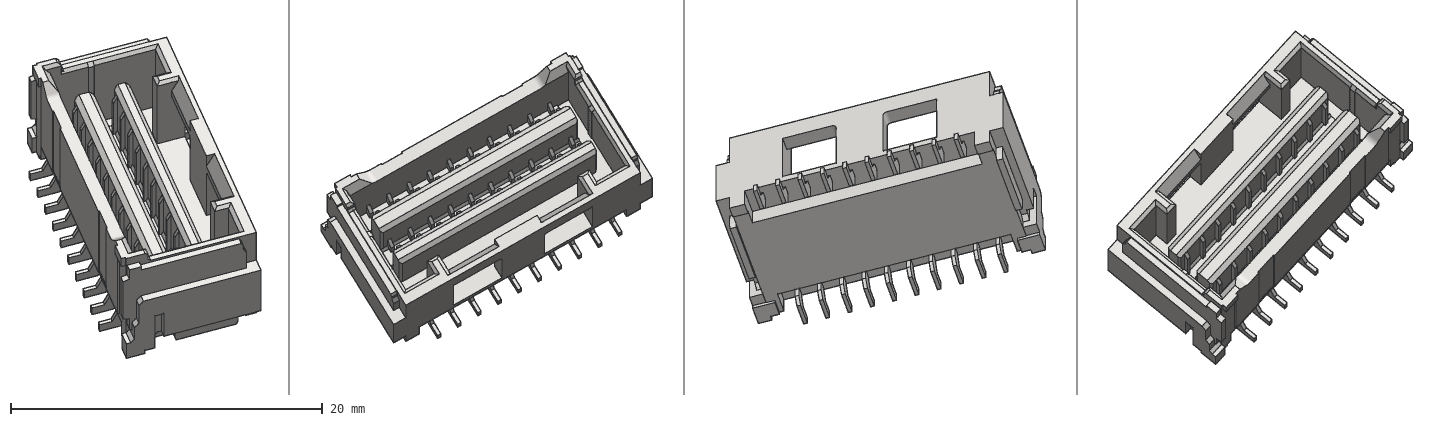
import cadquery as cq

BODY_HALF_X = 8.75
BACK_Y = 4.57
CORNER_BACK_Y = -2.78
COLUMN_Y = -4.28
PANEL_Y = -4.42
RIM_Z = 7.99
CORNER_Z = 8.8
BASE_Z = 0.3
FOOT_Z = 0.08

PANEL_HALF_X = 7.47
PANEL_BOTTOM_Z = 2.0
PANEL_GROOVES_X = (3.72, 5.23)
PANEL_GROOVE_DEPTH = 0.08
CORNER_BUMP_Y = -4.57
CORNER_BUMP_HALF_X = 8.63
DIP_HALF_X = 6.3
DIP_TOP_HALF_X = 7.1
DIP_FILLET = 0.58

CAVITY_HALF_X = 8.18
CAVITY_BACK_Y = 3.6
CAVITY_FRONT_Y = -3.53
FLOOR_Z = 2.12
LEAD_IN_X = 0.21
LEAD_IN_Y = 0.25
LEAD_IN_Z = 0.23
CORNER_LEAD_IN_Y = -4.01
CORNER_LEAD_IN_Z = 8.15
SIDE_RIB_Y = (-0.95, -0.56)
SIDE_RIB_DEPTH = 0.05

KEY_X = (5.17, 6.05)
KEY_FRONT_Y = 2.68
KEY_BEVEL = 0.23
KEY_BEVEL_Z = 0.2
WINDOW_INNER_X = 1.58
WINDOW_TOP_Z = 6.4
WINDOW_FILLET = 0.29
WINDOW_FACE_Y = 3.67
BEVEL_TOP_Y = 4.23
BEVEL_DROP = 1.02

RIDGE_HALF_X = 7.35
RIDGE_TOP_Z = 6.31
RIDGE_BEVEL_Z = 0.29
RIDGE_END_CHAMFER = 0.15
PLINTH_TOP_Z = 2.41
RIDGE_FLARE_Z = 0.27
RIDGE_FLARE_RUN = 0.15
BACK_RIDGE_Y = (1.55, 1.25, 0.77, 0.48)
FRONT_RIDGE_Y = (-0.87, -1.18, -1.87, -2.22)

PIN_COUNT = 10
PIN_ROW = 13.5
PIN_WIDTH = 0.25
CONTACT_TIP_Z = 5.96
CONTACT_SHOULDER_Z = 5.45
CONTACT_DEPTH = 0.27
POST_TOP_Z = 3.86
POST_SLOPE_Z = 0.58
POST_DEPTH = 0.42
LEAD_END_Y = 5.42
LEAD_THICKNESS = 0.65
LEAD_KNEE_Y = 4.57
LEAD_OUTER_Y = 4.11
LEAD_INNER_Y = 3.57
LEAD_HEEL_Y = 3.95
LEAD_HEEL_Z = 0.58

LEAD_BAY_HALF_X = 7.84
LEAD_BAY_TOP_Z = 1.58
LEAD_BAY_Y = 2.9
FRONT_FOOT_Y = -3.32
FRONT_FOOT_X = 8.15
BACK_FOOT_Y = 3.85
BACK_FOOT_X = 7.72

EAR_HALF_X = 9.65
CLIP_HALF_X = 9.17
EAR_TOP_Z = 5.27
EAR_BOTTOM_Z = 1.27
EAR_SLOT_Y = (-2.65, -2.03)
EAR_SLOT_TOP_Z = 3.51
EAR_FRONT_Y = -3.72
EAR_NECK_Y = -4.03
EAR_FOOT_TOP_Z = 1.5
EAR_LEG_Z = 0.37
CLIP_BACK_Y = 3.76
CLIP_SHOULDER_Y = -4.2
CLIP_NOSE_Y = -4.63
CLIP_RAIL_Z = 7.82
CLIP_TOP_Z = 8.13
CLIP_ARM_Z = 2.12
CLIP_TAIL_Y = (-1.12, 3.18)
CLIP_TAIL_TAPER = 0.1

PIN_PITCH = PIN_ROW / (PIN_COUNT - 1)
PIN_X = [i * PIN_PITCH - PIN_ROW / 2 for i in range(PIN_COUNT)]


def box(x, y, z):
    """Box spanning the (low, high) pairs x, y and z."""
    size = (x[1] - x[0], y[1] - y[0], z[1] - z[0])
    return cq.Workplane("XY").box(*size, centered=False).translate((x[0], y[0], z[0]))


def profile_yz(points, x):
    """Prism with a (y, z) outline spanning the (low, high) pair x."""
    return cq.Workplane("YZ").workplane(offset=x[0]).polyline(points).close().extrude(x[1] - x[0])


def both_sides(shape):
    """The shape together with its mirror image across the YZ plane."""
    return shape.union(shape.mirror("YZ"))


def at_pins(shape):
    """One copy of the shape, modelled at X = 0, at every pin."""
    copies = cq.Workplane("XY")
    for x in PIN_X:
        copies = copies.add(shape.translate((x, 0, 0)))
    return copies.combine()


def make_shell():
    outline = [
        (COLUMN_Y, BASE_Z), (BACK_Y, BASE_Z), (BACK_Y, RIM_Z),
        (-2.6, RIM_Z), (CORNER_BACK_Y, 8.16), (CORNER_BACK_Y, 8.6), (-3.0, CORNER_Z), (COLUMN_Y, CORNER_Z),
    ]
    shell = profile_yz(outline, (-BODY_HALF_X, BODY_HALF_X))
    shell = shell.union(box((-PANEL_HALF_X, PANEL_HALF_X), (PANEL_Y, COLUMN_Y), (PANEL_BOTTOM_Z, CORNER_Z)))
    bump = box((PANEL_HALF_X, CORNER_BUMP_HALF_X), (CORNER_BUMP_Y, COLUMN_Y), (RIM_Z, CORNER_Z))
    groove = box(PANEL_GROOVES_X, (PANEL_Y, PANEL_Y + PANEL_GROOVE_DEPTH), (PANEL_BOTTOM_Z, CORNER_Z))
    shell = shell.union(both_sides(bump)).cut(both_sides(groove))
    front_foot = box((FRONT_FOOT_X, BODY_HALF_X), (COLUMN_Y, FRONT_FOOT_Y), (FOOT_Z, BASE_Z))
    back_foot = box((BACK_FOOT_X, BODY_HALF_X), (BACK_FOOT_Y, BACK_Y), (FOOT_Z, BASE_Z))
    shell = shell.union(both_sides(front_foot)).union(both_sides(back_foot))
    dip = (
        cq.Workplane("XZ")
        .polyline([
            (-DIP_HALF_X, RIM_Z), (DIP_HALF_X, RIM_Z),
            (DIP_TOP_HALF_X, CORNER_Z), (-DIP_TOP_HALF_X, CORNER_Z),
        ])
        .close().extrude(-PANEL_Y)
        .edges("|Y and <Z").fillet(DIP_FILLET)
    )
    return shell.cut(dip)


def make_cavity():
    mouth_x = CAVITY_HALF_X + LEAD_IN_X
    mouth_back_y = CAVITY_BACK_Y + LEAD_IN_Y

    def side_flare(rim_z, y):
        """Channel widening towards the side walls, up to rim_z."""
        low_z = rim_z - LEAD_IN_Z
        return (
            cq.Workplane("XZ", origin=(0, y[1], 0))
            .polyline([
                (-CAVITY_HALF_X, low_z), (CAVITY_HALF_X, low_z), (mouth_x, rim_z), (-mouth_x, rim_z),
            ])
            .close().extrude(y[1] - y[0])
        )

    cavity = profile_yz([
        (CAVITY_FRONT_Y, FLOOR_Z), (CAVITY_BACK_Y, FLOOR_Z), (CAVITY_BACK_Y, CORNER_Z),
        (CORNER_LEAD_IN_Y, CORNER_Z), (CAVITY_FRONT_Y, CORNER_LEAD_IN_Z),
    ], (-CAVITY_HALF_X, CAVITY_HALF_X))
    back_flare = profile_yz([
        (CORNER_BACK_Y, RIM_Z - LEAD_IN_Z), (CAVITY_BACK_Y, RIM_Z - LEAD_IN_Z),
        (mouth_back_y, RIM_Z), (CORNER_BACK_Y, RIM_Z),
    ], (-mouth_x, mouth_x))
    front_flare = profile_yz([
        (CORNER_BACK_Y, RIM_Z), (CORNER_BACK_Y, CORNER_Z),
        (CORNER_LEAD_IN_Y, CORNER_Z), (CAVITY_FRONT_Y, CORNER_LEAD_IN_Z), (CAVITY_FRONT_Y, RIM_Z),
    ], (-mouth_x, mouth_x))
    low_rim = side_flare(RIM_Z, (CORNER_BACK_Y, mouth_back_y)).intersect(back_flare)
    high_rim = side_flare(CORNER_Z, (CORNER_LEAD_IN_Y, CORNER_BACK_Y)).intersect(front_flare)
    rib_x = CAVITY_HALF_X - SIDE_RIB_DEPTH
    rib = (
        cq.Workplane("XZ", origin=(0, SIDE_RIB_Y[1], 0))
        .polyline([(rib_x, FLOOR_Z), (rib_x, RIM_Z - LEAD_IN_Z), (mouth_x, RIM_Z), (mouth_x, FLOOR_Z)])
        .close().extrude(SIDE_RIB_Y[1] - SIDE_RIB_Y[0])
    )
    return cavity.union(low_rim).union(high_rim).cut(both_sides(rib))


def make_key_rib():
    return (
        box(KEY_X, (KEY_FRONT_Y, BACK_Y), (FLOOR_Z, RIM_Z))
        .faces(">Z").edges("<X or >X or <Y").chamfer(KEY_BEVEL_Z, KEY_BEVEL)
    )


def make_keys():
    block = box((-KEY_X[0], KEY_X[0]), (WINDOW_FACE_Y, BACK_Y), (FLOOR_Z, RIM_Z))
    return block.union(both_sides(make_key_rib()))


def make_windows():
    window = (
        box((WINDOW_INNER_X, KEY_X[0]), (CAVITY_BACK_Y, BACK_Y), (FLOOR_Z, WINDOW_TOP_Z))
        .edges("|Y and >Z and <X").fillet(WINDOW_FILLET)
    )
    bevel = profile_yz([
        (WINDOW_FACE_Y, RIM_Z - BEVEL_DROP), (BEVEL_TOP_Y, RIM_Z), (WINDOW_FACE_Y, RIM_Z),
    ], (WINDOW_INNER_X, KEY_X[0] + KEY_BEVEL)).cut(make_key_rib())
    recess = box((0, KEY_X[0]), (CAVITY_BACK_Y, WINDOW_FACE_Y), (FLOOR_Z, RIM_Z))
    return both_sides(window.union(bevel).union(recess))


def make_ridge(back_y, top_back_y, top_front_y, front_y):
    """Upright ridge with a bevelled top and chamfered ends."""
    span_x = (-RIDGE_HALF_X, RIDGE_HALF_X)
    bevel_z = RIDGE_TOP_Z - RIDGE_BEVEL_Z
    ridge = profile_yz([
        (back_y, FLOOR_Z), (back_y, bevel_z), (top_back_y, RIDGE_TOP_Z),
        (top_front_y, RIDGE_TOP_Z), (front_y, bevel_z), (front_y, FLOOR_Z),
    ], span_x)
    plan = (
        box(span_x, (front_y, back_y), (FLOOR_Z, RIDGE_TOP_Z))
        .edges("|Z").chamfer(RIDGE_END_CHAMFER)
    )
    return ridge.intersect(plan)


def make_ridge_flare(face_y, run):
    """Sloped foot along a ridge face, standing out from it by run."""
    return profile_yz([
        (face_y, FLOOR_Z), (face_y, PLINTH_TOP_Z + RIDGE_FLARE_Z),
        (face_y + run, PLINTH_TOP_Z), (face_y + run, FLOOR_Z),
    ], (-RIDGE_HALF_X, RIDGE_HALF_X))


def make_contact(ridge_y):
    """Blade on the front face of a ridge with a sloping tip."""
    half = PIN_WIDTH / 2
    face_y = ridge_y - CONTACT_DEPTH
    return profile_yz([
        (ridge_y, FLOOR_Z), (ridge_y, CONTACT_TIP_Z), (face_y, CONTACT_SHOULDER_Z), (face_y, FLOOR_Z),
    ], (-half, half))


def make_post(back_y, front_y):
    """Low post with a top sloping down to the back."""
    half = PIN_WIDTH / 2
    return profile_yz([
        (back_y, FLOOR_Z), (back_y, POST_TOP_Z - POST_SLOPE_Z), (front_y, POST_TOP_Z), (front_y, FLOOR_Z),
    ], (-half, half))


def make_lead():
    """Gull-wing solder lead on the front side."""
    half = PIN_WIDTH / 2
    return profile_yz([
        (-LEAD_END_Y, 0), (-LEAD_END_Y, LEAD_THICKNESS), (-LEAD_KNEE_Y, LEAD_THICKNESS),
        (-LEAD_OUTER_Y, LEAD_BAY_TOP_Z), (-LEAD_OUTER_Y, PANEL_BOTTOM_Z),
        (-LEAD_INNER_Y, PANEL_BOTTOM_Z), (-LEAD_INNER_Y, LEAD_HEEL_Z), (-LEAD_HEEL_Y, 0),
    ], (-half, half))


def make_ear():
    outline = [
        (BACK_Y, EAR_BOTTOM_Z), (BACK_Y, EAR_TOP_Z), (-3.42, EAR_TOP_Z), (EAR_FRONT_Y, 4.96),
        (EAR_FRONT_Y, 3.2), (EAR_NECK_Y, 2.9), (EAR_NECK_Y, 1.75), (COLUMN_Y, EAR_FOOT_TOP_Z),
        (CORNER_BUMP_Y, EAR_FOOT_TOP_Z), (CORNER_BUMP_Y, FOOT_Z), (FRONT_FOOT_Y, FOOT_Z),
        (FRONT_FOOT_Y, EAR_LEG_Z), (EAR_SLOT_Y[0], EAR_LEG_Z), (EAR_SLOT_Y[0], 0.96), (-2.28, EAR_BOTTOM_Z),
    ]
    ear = profile_yz(outline, (BODY_HALF_X, EAR_HALF_X))
    return ear.cut(box((CLIP_HALF_X, EAR_HALF_X), EAR_SLOT_Y, (FOOT_Z, EAR_SLOT_TOP_Z)))


def make_clip():
    tail_front_y, tail_back_y = CLIP_TAIL_Y
    outline = [
        (CLIP_BACK_Y, EAR_BOTTOM_Z), (CLIP_BACK_Y, 6.77), (3.53, 7.22), (3.53, 7.58), (3.4, CLIP_RAIL_Z),
        (-3.38, CLIP_RAIL_Z), (-3.38, CLIP_TOP_Z), (CLIP_SHOULDER_Y, CLIP_TOP_Z),
        (CLIP_SHOULDER_Y, 7.22), (CLIP_NOSE_Y, 7.1), (CLIP_NOSE_Y, 3.44), (CLIP_SHOULDER_Y, 3.28),
        (CLIP_SHOULDER_Y, 2.32), (-4.03, CLIP_ARM_Z), (-2.9, CLIP_ARM_Z), (-2.9, EAR_BOTTOM_Z),
        (tail_front_y, EAR_BOTTOM_Z), (tail_front_y, BASE_Z), (tail_front_y + CLIP_TAIL_TAPER, 0),
        (tail_back_y - CLIP_TAIL_TAPER, 0), (tail_back_y, BASE_Z), (tail_back_y, EAR_BOTTOM_Z),
    ]
    return profile_yz(outline, (BODY_HALF_X, CLIP_HALF_X))


housing = make_shell().cut(make_cavity()).union(make_keys()).cut(make_windows())
for half_x, bay_y in ((BACK_FOOT_X, (LEAD_BAY_Y, BACK_Y)), (LEAD_BAY_HALF_X, (PANEL_Y, -LEAD_BAY_Y))):
    housing = housing.cut(box((-half_x, half_x), bay_y, (0, LEAD_BAY_TOP_Z)))
plinth = box((-RIDGE_HALF_X, RIDGE_HALF_X), (CAVITY_FRONT_Y, BACK_RIDGE_Y[-1]), (FLOOR_Z, PLINTH_TOP_Z))
housing = housing.union(plinth)
for ridge_y in (BACK_RIDGE_Y, FRONT_RIDGE_Y):
    housing = housing.union(make_ridge(*ridge_y))
    housing = housing.union(make_ridge_flare(ridge_y[-1], -RIDGE_FLARE_RUN))
housing = housing.union(make_ridge_flare(FRONT_RIDGE_Y[0], RIDGE_FLARE_RUN))

lead = make_lead()
pins = (
    make_contact(BACK_RIDGE_Y[-1]),
    make_contact(FRONT_RIDGE_Y[-1]),
    make_post(FRONT_RIDGE_Y[0] + POST_DEPTH, FRONT_RIDGE_Y[0]),
    make_post(CAVITY_FRONT_Y + POST_DEPTH, CAVITY_FRONT_Y),
    lead,
    lead.mirror("XZ"),
)
for pin in pins:
    housing = housing.union(at_pins(pin))

result = housing.union(both_sides(make_ear())).union(both_sides(make_clip()))